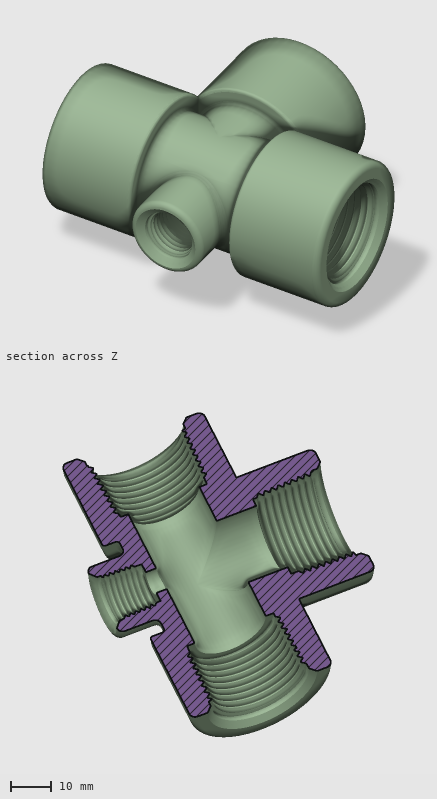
import cadquery as cq
import math


socket_reach = 39.75
socket_radius = 38.1 / 2
socket_inner_face = 14.12
socket_mouth_round = 1.6
socket_inner_round = 0.8
body_radius = 14.9
body_fillet = 0.8
flow_bore_radius = 19.05 / 2

port_reach = 25.4
port_radius = 20.32 / 2
port_mouth_round = 1.6
port_fillet = 1.5
port_bore_radius = 6.35 / 2

socket_directions = [(-1, 0), (1, 0), (0, 1)]
port_direction = (0, -1)

inch = 25.4
taper_slope = 1 / 32
groove_width_share = 0.94
relief_share = 0.7
first_crest_share = 0.9
groove_overlap = 0.1

socket_thread = {
    "pitch": inch / 14,
    "turns": 9,
    "depth": 19.5,
    "mouth_radius": 14.7,
    "lead_radius": 13.2,
    "lead_depth": 1.5,
    "crest_radius": 12.2,
    "groove_depth": 1.0,
}
port_thread = {
    "pitch": inch / 18,
    "turns": 7,
    "depth": 13.0,
    "mouth_radius": 8.55,
    "lead_radius": 6.75,
    "lead_depth": 1.5,
    "crest_radius": 6.1,
    "groove_depth": 0.7,
}


def outward_plane(direction, reach):
    """Plane on an opening, with its normal pointing out of the part."""
    x, y = direction
    return cq.Plane(origin=(x * reach, y * reach, 0), xDir=(y, -x, 0), normal=(x, y, 0))


def socket_arm(direction):
    """One arm of the tee: body pipe, fillet, stepped-up socket and rounded mouth."""
    profile = (
        cq.Workplane("XZ")
        .lineTo(body_radius, 0)
        .lineTo(body_radius, socket_inner_face - body_fillet)
        .radiusArc((body_radius + body_fillet, socket_inner_face), body_fillet)
        .lineTo(socket_radius - socket_inner_round, socket_inner_face)
        .radiusArc((socket_radius, socket_inner_face + socket_inner_round), -socket_inner_round)
        .lineTo(socket_radius, socket_reach - socket_mouth_round)
        .radiusArc((socket_radius - socket_mouth_round, socket_reach), -socket_mouth_round)
        .lineTo(0, socket_reach)
        .close()
    )
    arm = profile.revolve(360, (0, 0, 0), (0, 1, 0)).val()
    return cq.Workplane(arm.moved(outward_plane(direction, 0).location))


def add_gauge_port(tee):
    """Round port on the -Y side, blended into the body."""
    port = (
        cq.Workplane(outward_plane(port_direction, 0))
        .circle(port_radius)
        .extrude(port_reach)
        .faces("<Y")
        .edges()
        .fillet(port_mouth_round)
    )
    side = port_radius + port_fillet
    joint_box = cq.selectors.BoxSelector(
        (-side, -body_radius - port_fillet, -side),
        (side, -body_radius / 2, side),
    )
    return tee.union(port).edges(joint_box).fillet(port_fillet)


def tapped_hole(thread):
    """Cutter for a tapered threaded hole; its opening is at z = 0 and it goes down."""
    taper_angle = math.degrees(math.atan(taper_slope))
    pitch = thread["pitch"]
    depth = thread["depth"]
    crest_radius = thread["crest_radius"]
    lead_depth = thread["lead_depth"]
    relief_depth = lead_depth + pitch * relief_share
    first_crest_depth = lead_depth + pitch * first_crest_share
    hole = (
        cq.Workplane("YZ")
        .moveTo(0, -depth)
        .lineTo(crest_radius - depth * taper_slope, -depth)
        .lineTo(crest_radius - first_crest_depth * taper_slope, -first_crest_depth)
        .lineTo(thread["lead_radius"], -relief_depth)
        .lineTo(thread["lead_radius"], -lead_depth)
        .lineTo(thread["mouth_radius"], 0)
        .lineTo(0, 0)
        .close()
        .revolve(360, (0, 0, 0), (0, 1, 0))
    )

    length = pitch * thread["turns"]
    start = pitch / 2 - first_crest_depth - length
    start_radius = crest_radius + start * taper_slope
    path = cq.Wire.makeHelix(pitch, length, start_radius, (0, 0, start), angle=taper_angle)
    half_width = pitch * groove_width_share / 2
    groove = (
        cq.Workplane("XZ")
        .moveTo(start_radius - groove_overlap, start - half_width)
        .lineTo(start_radius + thread["groove_depth"], start)
        .lineTo(start_radius - groove_overlap, start + half_width)
        .close()
        .sweep(cq.Workplane(path), isFrenet=True)
    )
    return hole.union(groove).val()


tee = socket_arm(socket_directions[0])
for direction in socket_directions[1:]:
    tee = tee.union(socket_arm(direction))
tee = add_gauge_port(tee)

socket_cutter = tapped_hole(socket_thread)
for direction in socket_directions:
    opening = outward_plane(direction, socket_reach)
    tee = tee.cut(cq.Workplane(opening).circle(flow_bore_radius).extrude(-socket_reach))
    tee = tee.cut(cq.Workplane(socket_cutter.moved(opening.location)))

port_opening = outward_plane(port_direction, port_reach)
tee = tee.cut(cq.Workplane(port_opening).circle(port_bore_radius).extrude(-port_reach))
result = tee.cut(cq.Workplane(tapped_hole(port_thread).moved(port_opening.location)))